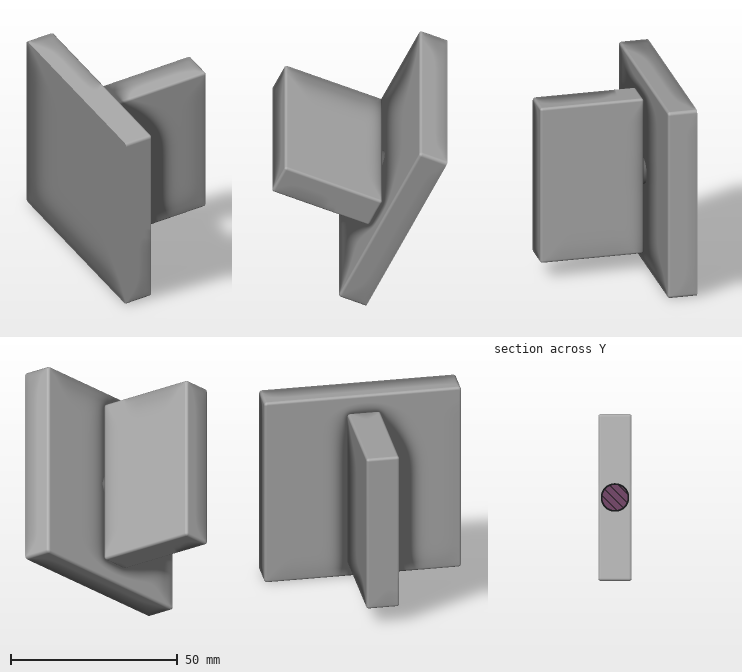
import cadquery as cq

plate_side = 60.0
plate_thickness = 9.0
plate_corner_radius = 0.95
plate_rim_radius = 0.8

knob_width = 10.0
knob_depth = 32.0
knob_height = 50.0
knob_edge_radius = 0.8
neck_diameter = 8.2
neck_length = 1.1

plate_back_y = plate_thickness
knob_front_y = plate_back_y + neck_length


def block_from(front_y, width, depth, height):
    """Block centred on the Y axis, reaching back from front_y."""
    return cq.Workplane("XY").box(width, depth, height).translate((0, front_y + depth / 2, 0))


def make_plate():
    """Square plate with rounded corners and a rounded rim around its back face."""
    block = block_from(0, plate_side, plate_thickness, plate_side)
    rounded = block.edges("|Y").fillet(plate_corner_radius)
    return rounded.faces(">Y").edges().fillet(plate_rim_radius)


def make_knob():
    """Grip with all edges rounded, joined to the neck on its front face."""
    grip = block_from(knob_front_y, knob_width, knob_depth, knob_height)
    grip = grip.edges().fillet(knob_edge_radius)
    neck = (
        cq.Workplane("XZ", origin=(0, knob_front_y, 0))
        .circle(neck_diameter / 2)
        .extrude(neck_length)
    )
    return grip.union(neck)


plate = make_plate()
knob = make_knob()

result = cq.Compound.makeCompound([plate.val(), *knob.vals()])